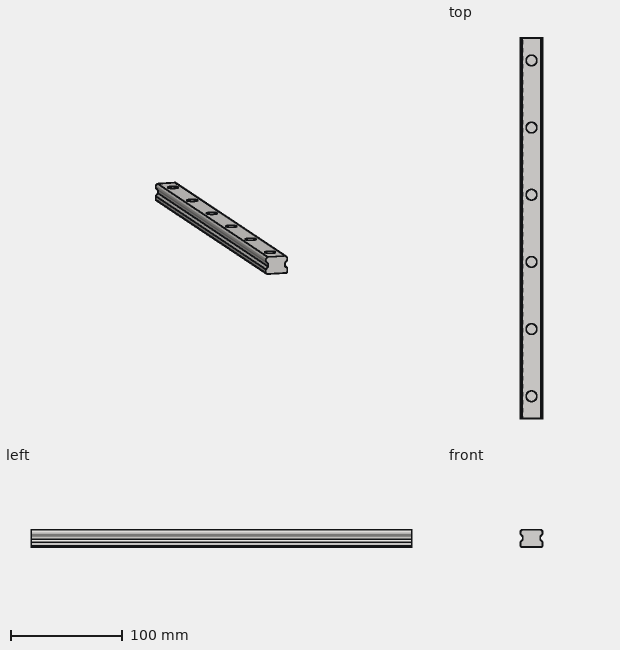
import cadquery as cq

length = 340.0
width = 20.0
height = 15.5

half_width = width / 2
head_chamfer = 1.7
foot_chamfer = 1.0
head_bottom = 12.0
waist_half_width = 7.8
waist_top = 9.2
waist_bottom = 6.8
foot_top = 4.5

head_shoulder_radius = 1.0
head_bottom_radius = 1.0
waist_top_radius = 1.5

recess_diameter = 9.5
recess_depth = 0.17
recess_count = 6
end_margin = 20.0
recess_pitch = (length - 2 * end_margin) / (recess_count - 1)
first_recess_y = -length / 2 + end_margin


def sharp_rail():
    """Extrude the symmetric waisted section along Y, centred on X and Y, standing on Z = 0."""
    right_side = [
        (half_width - foot_chamfer, 0),
        (half_width, foot_chamfer),
        (half_width, foot_top),
        (waist_half_width, waist_bottom),
        (waist_half_width, waist_top),
        (half_width, head_bottom),
        (half_width, height - head_chamfer),
        (half_width - head_chamfer, height),
    ]
    left_side = [(-x, z) for x, z in reversed(right_side)]
    section = cq.Workplane("XZ").polyline(right_side + left_side).close()
    return section.extrude(length / 2, both=True)


def round_edge_pair(body, x, z, radius):
    """Fillet the two lengthwise edges at +x and -x at height z."""
    for edge_x in (x, -x):
        nearest_edge = cq.selectors.NearestToPointSelector((edge_x, 0, z))
        body = body.edges("|Y").edges(nearest_edge).fillet(radius)
    return body


def top_recesses():
    """Row of shallow round cutters reaching down from the top face."""
    centres = [(0, first_recess_y + i * recess_pitch) for i in range(recess_count)]
    top_plane = cq.Workplane("XY").workplane(offset=height)
    return top_plane.pushPoints(centres).circle(recess_diameter / 2).extrude(-recess_depth)


rail = sharp_rail()
rail = round_edge_pair(rail, half_width, height - head_chamfer, head_shoulder_radius)
rail = round_edge_pair(rail, half_width, head_bottom, head_bottom_radius)
rail = round_edge_pair(rail, waist_half_width, waist_top, waist_top_radius)

result = rail.cut(top_recesses())